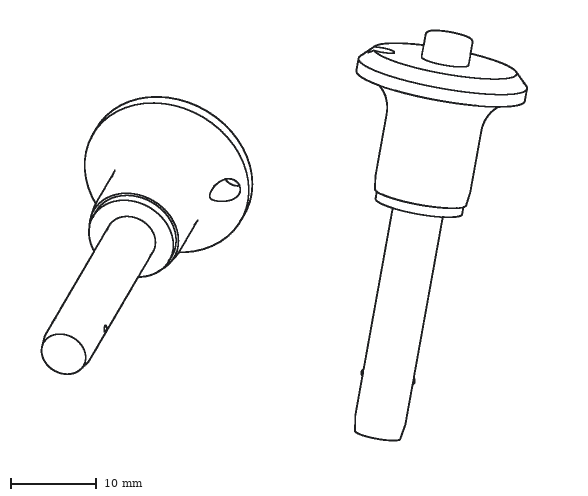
import cadquery as cq
import math

total_length = 48.1
button_end = total_length / 2
tip_end = -total_length / 2

button_radius = 2.8
button_length = 3.1
button_edge_radius = 0.4

rim_radius = 10.0
rim_chamfer = 1.5
rim_width = 1.5
body_radius = 5.65
body_length = 7.4
flare_radius = rim_radius - body_radius
body_taper_length = 1.6
body_taper_inset = 0.2
collar_radius = 5.15
collar_length = 1.15

shank_radius = 3.0
tip_radius = 2.7
tip_taper_length = 1.8

ball_radius = 0.5
ball_protrusion = 0.2
ball_from_tip = 6.97

hole_radius = 1.5
hole_offset = 7.5

rim_top = button_end - button_length
rim_shoulder = rim_top - rim_chamfer
rim_bottom = rim_shoulder - rim_width
flare_end = rim_bottom - flare_radius
body_end = flare_end - body_length
collar_start = body_end - body_taper_length
collar_end = collar_start - collar_length


def make_pin():
    """Revolve the half profile of the button, handle and shank about Y."""
    arc_reach = flare_radius * (1 - math.sqrt(0.5))
    flare_middle = (body_radius + arc_reach, rim_bottom - arc_reach)
    return (
        cq.Workplane("XY")
        .moveTo(0, button_end)
        .lineTo(button_radius - button_edge_radius, button_end)
        .radiusArc((button_radius, button_end - button_edge_radius), button_edge_radius)
        .lineTo(button_radius, rim_top)
        .lineTo(rim_radius - rim_chamfer, rim_top)
        .lineTo(rim_radius, rim_shoulder)
        .lineTo(rim_radius, rim_bottom)
        .threePointArc(flare_middle, (body_radius, flare_end))
        .lineTo(body_radius, body_end)
        .lineTo(body_radius - body_taper_inset, collar_start)
        .lineTo(collar_radius, collar_start)
        .lineTo(collar_radius, collar_end)
        .lineTo(shank_radius, collar_end)
        .lineTo(shank_radius, tip_end + tip_taper_length)
        .lineTo(tip_radius, tip_end)
        .lineTo(0, tip_end)
        .close()
        .revolve(360, (0, 0, 0), (0, 1, 0))
    )


def make_lanyard_hole():
    """Cylinder parallel to the pin axis, crossing the rim and its flare."""
    return (
        cq.Workplane("XZ", origin=(hole_offset, rim_top, 0))
        .circle(hole_radius)
        .extrude(rim_top - flare_end)
    )


def make_ball(side):
    """Locking ball on the -X (side = -1) or +X (side = 1) face of the shank."""
    center_offset = shank_radius + ball_protrusion - ball_radius
    center = (side * center_offset, tip_end + ball_from_tip, 0)
    return cq.Workplane("XY").sphere(ball_radius).translate(center)


result = make_pin().cut(make_lanyard_hole())
for side in (-1, 1):
    result = result.union(make_ball(side))